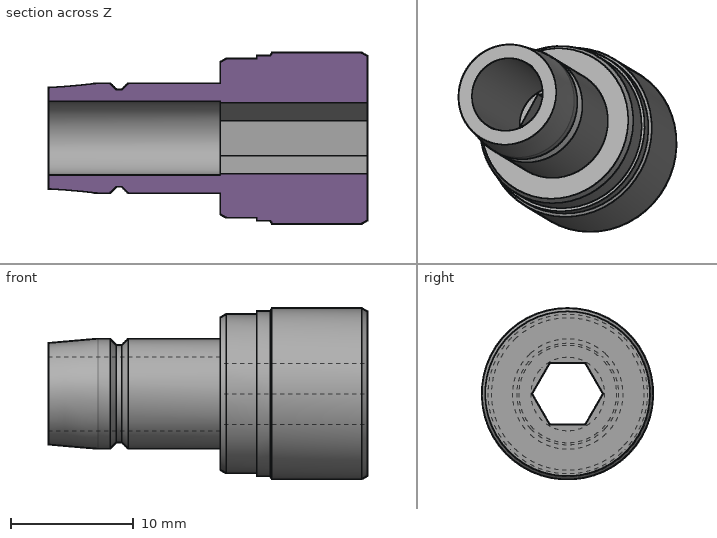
import cadquery as cq
import math

total_length = 26.0
taper_length = 4.0
groove_start = 5.02
groove_end = 6.5
shoulder_x = 14.0
ring_x = 16.95
head_x = 18.07

head_diameter = 14.0
ring_diameter = 13.5
flange_diameter = 13.0
shank_diameter = 9.0
bore_diameter = 6.0
hex_across_flats = 5.0

taper_angle = math.radians(5)
bevel_angle = math.radians(30)
bevel_length = 0.5
groove_depth = 0.52

head_radius = head_diameter / 2
ring_radius = ring_diameter / 2
flange_radius = flange_diameter / 2
shank_radius = shank_diameter / 2
groove_radius = shank_radius - groove_depth
tip_radius = shank_radius - taper_length * math.tan(taper_angle)
bevel_drop = bevel_length * math.tan(bevel_angle)
head_step_length = (head_radius - ring_radius) * math.tan(bevel_angle)

hex_across_corners = hex_across_flats / math.cos(math.radians(30))


def turned_body():
    """Solid of revolution about X: tapered tip, grooved shank, flange, ring and head."""
    profile = [
        (0, 0),
        (0, tip_radius),
        (taper_length, shank_radius),
        (groove_start, shank_radius),
        (groove_start + groove_depth, groove_radius),
        (groove_end - groove_depth, groove_radius),
        (groove_end, shank_radius),
        (shoulder_x, shank_radius),
        (shoulder_x, flange_radius - bevel_drop),
        (shoulder_x + bevel_length, flange_radius),
        (ring_x, flange_radius),
        (ring_x, ring_radius),
        (head_x, ring_radius),
        (head_x + head_step_length, head_radius),
        (total_length - bevel_length, head_radius),
        (total_length, head_radius - bevel_drop),
        (total_length, 0),
    ]
    return cq.Workplane("XZ").polyline(profile).close().revolve(360, (0, 0, 0), (1, 0, 0))


def shank_bore():
    """Round bore from the tip to the shoulder."""
    return cq.Workplane("YZ").circle(bore_diameter / 2).extrude(shoulder_x)


def hex_hole():
    """Hexagonal hole through the rest of the part, with flats facing +Z and -Z."""
    return cq.Workplane("YZ").polygon(6, hex_across_corners).extrude(total_length)


result = turned_body().cut(shank_bore()).cut(hex_hole())